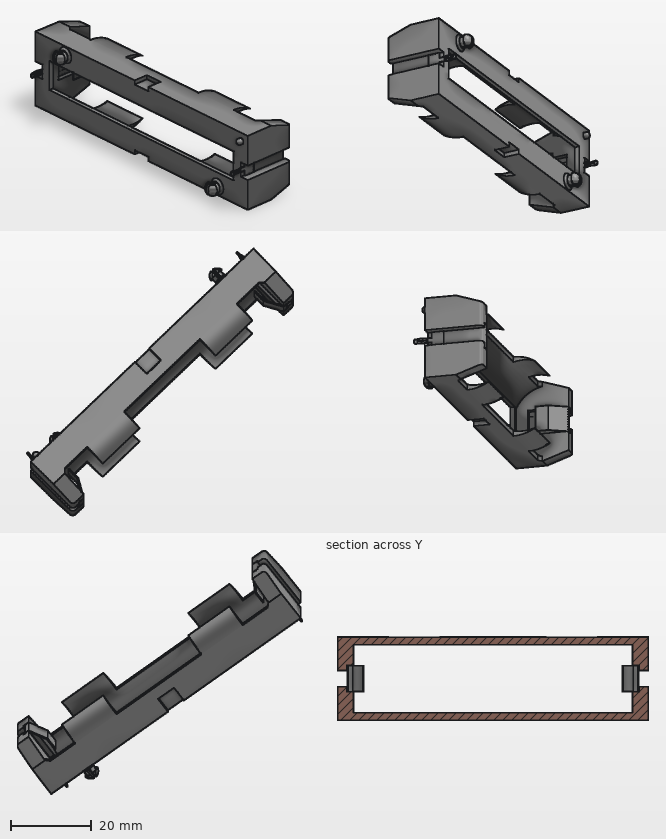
import cadquery as cq
import math

LENGTH = 77.05
HEIGHT = 20.65
RAIL_DEPTH = 7.1
TOWER_DEPTH = 14.8
TOWER_THICKNESS = 4.0
END_DRAFT = 0.15
TOWER_FILLET = 1.0
FLANK_START = 8.0
TOWER_TIP_HEIGHT = 16.2

CELL_RADIUS = 9.25
CELL_AXIS_Y = 9.55
FLOOR_THICKNESS = 1.2
WINDOW_LENGTH = 66.7
WINDOW_HEIGHT = 8.1

CLIP_LENGTH = 12.8
CLIP_CENTER_X = 19.5

RAIL_NOTCH_LENGTH = 4.9
RAIL_NOTCH_DEPTH = 4.15
RAIL_NOTCH_INSET = 1.15

SHEET = 0.3
CONTACT_WIDTH = 6.4
END_NOTCH_HEIGHT = 4.0
CONTACT_INSET = 2.15
CONTACT_JOG = 0.15
JOG_Y = 4.15
SHOULDER_Y = 1.1
BEND_RADIUS = 1.15
LEG_INSET = 6.55
LEG_TOP_Y = 10.25
LEG_END_Y = 6.9

TAIL_WIDTH = 1.15
PIN_LENGTH = 3.55
TAIL_TIP_CHAMFER = 0.3
BOW_OFFSET = 0.27
BOW_START = 0.3
BOW_END = 2.7

PEG_X = 27.6
PEG_Z = 7.85
ROOT_RADIUS = 1.55
SHANK_RADIUS = 1.5
ROOT_FILLET = 0.6
BARB_RADIUS = 1.9
BARB_CENTER = 1.7
BARB_START = 1.9
BARB_FLATS = 3.0
PEG_SLOT = 0.7

BUMP_X = 36.1
BUMP_Z = 8.0
BUMP_RADIUS = 0.85
BUMP_STRAIGHT = 0.55

END_X = LENGTH / 2
SIDE_Z = HEIGHT / 2
TOWER_INNER_X = END_X - TOWER_THICKNESS
STRIP_X = END_X - CONTACT_INSET
STRIP_BACK_X = STRIP_X - SHEET
WRAP_X = STRIP_X - CONTACT_JOG
WRAP_BACK_X = WRAP_X - SHEET
LEG_X = END_X - LEG_INSET


def box(x0, x1, y0, y1, z0, z1):
    """Axis-aligned block between two corners."""
    return cq.Workplane("XY").box(x1 - x0, y1 - y0, z1 - z0, centered=False).translate((x0, y0, z0))


def cylinder_along_x(radius, axis_y, x0, x1):
    return cq.Workplane("YZ", origin=(x0, 0, 0)).center(axis_y, 0).circle(radius).extrude(x1 - x0)


def make_frame():
    """Rails and end towers, with slightly drafted ends and tower flanks leaning inward."""
    slope = FLANK_START - RAIL_DEPTH
    side_outline = [
        (-END_X, 0),
        (END_X, 0),
        (END_X - END_DRAFT, TOWER_DEPTH),
        (TOWER_INNER_X, TOWER_DEPTH),
        (TOWER_INNER_X, FLANK_START),
        (TOWER_INNER_X - slope, RAIL_DEPTH),
        (-TOWER_INNER_X + slope, RAIL_DEPTH),
        (-TOWER_INNER_X, FLANK_START),
        (-TOWER_INNER_X, TOWER_DEPTH),
        (-END_X + END_DRAFT, TOWER_DEPTH),
    ]
    frame = cq.Workplane("XY").polyline(side_outline).close().extrude(SIDE_Z, both=True)
    frame = frame.faces(">Y").edges("<X or >X").fillet(TOWER_FILLET)
    tip_z = TOWER_TIP_HEIGHT / 2
    end_outline = [
        (0, -SIDE_Z),
        (FLANK_START, -SIDE_Z),
        (TOWER_DEPTH, -tip_z),
        (TOWER_DEPTH, tip_z),
        (FLANK_START, SIDE_Z),
        (0, SIDE_Z),
    ]
    return frame.intersect(cq.Workplane("YZ").polyline(end_outline).close().extrude(END_X, both=True))


def make_clips():
    """Four curved clips, thinning from the rail's outer side to a sharp tip."""
    clips = cq.Workplane("XY")
    for center_x in (-CLIP_CENTER_X, CLIP_CENTER_X):
        x0 = center_x - CLIP_LENGTH / 2
        x1 = center_x + CLIP_LENGTH / 2
        outer = cylinder_along_x(SIDE_Z, RAIL_DEPTH, x0, x1)
        above_rail = box(x0, x1, RAIL_DEPTH, CELL_AXIS_Y + CELL_RADIUS, -SIDE_Z, SIDE_Z)
        clips = clips.add(outer.intersect(above_rail))
    return clips


def make_cradle_cut():
    """Battery space: a cylinder with a flat floor, plus the window through the floor."""
    cell = cylinder_along_x(CELL_RADIUS, CELL_AXIS_Y, -TOWER_INNER_X, TOWER_INNER_X)
    above_floor = box(
        -END_X, END_X, FLOOR_THICKNESS, CELL_AXIS_Y + CELL_RADIUS, -SIDE_Z, SIDE_Z
    )
    half_length = WINDOW_LENGTH / 2
    half_height = WINDOW_HEIGHT / 2
    window = box(-half_length, half_length, 0, CELL_AXIS_Y, -half_height, half_height)
    return cell.intersect(above_floor).union(window)


def make_end_cut():
    """Notch and pocket for the contact in the +X tower."""
    half_notch = END_NOTCH_HEIGHT / 2
    half_width = CONTACT_WIDTH / 2
    lower = box(STRIP_BACK_X, END_X, 0, JOG_Y, -half_notch, half_notch)
    upper = box(WRAP_X, END_X, JOG_Y, TOWER_DEPTH, -half_notch, half_notch)
    pocket = box(TOWER_INNER_X, WRAP_X, JOG_Y, TOWER_DEPTH, -half_width, half_width)
    return lower.union(upper).union(pocket)


def make_bump():
    tip = BUMP_STRAIGHT + BUMP_RADIUS
    diagonal = BUMP_RADIUS * math.sqrt(0.5)
    profile = (
        cq.Workplane("XY")
        .lineTo(BUMP_RADIUS, 0)
        .lineTo(BUMP_RADIUS, -BUMP_STRAIGHT)
        .threePointArc((diagonal, -BUMP_STRAIGHT - diagonal), (0, -tip))
        .close()
    )
    return profile.revolve(360, (0, 0, 0), (0, 1, 0)).translate((BUMP_X, 0, BUMP_Z))


def make_housing():
    housing = make_frame()
    for clip in make_clips().vals():
        housing = housing.union(cq.Workplane(clip))
    housing = housing.cut(make_cradle_cut())
    end_cut = make_end_cut()
    housing = housing.cut(end_cut).cut(end_cut.mirror("YZ"))
    half_notch = RAIL_NOTCH_LENGTH / 2
    rail_notch = box(-half_notch, half_notch, 0, RAIL_NOTCH_DEPTH, SIDE_Z - RAIL_NOTCH_INSET, SIDE_Z)
    housing = housing.cut(rail_notch).cut(rail_notch.mirror("XY"))
    return housing.union(make_bump())


def make_tail_half(bow, z0, z1):
    """One lengthwise half of a tail, bowed by the given offset along X."""
    peak_y = -(BOW_START + BOW_END) / 2
    outline = (
        cq.Workplane("XY", origin=(0, 0, z0))
        .moveTo(STRIP_X, SHOULDER_Y)
        .lineTo(STRIP_X, -BOW_START)
        .threePointArc((STRIP_X + bow, peak_y), (STRIP_X, -BOW_END))
        .lineTo(STRIP_X, -PIN_LENGTH)
        .lineTo(STRIP_BACK_X, -PIN_LENGTH)
        .lineTo(STRIP_BACK_X, -BOW_END)
        .threePointArc((STRIP_BACK_X + bow, peak_y), (STRIP_BACK_X, -BOW_START))
        .lineTo(STRIP_BACK_X, SHOULDER_Y)
        .close()
    )
    return outline.extrude(z1 - z0)


def make_tail():
    half_width = TAIL_WIDTH / 2
    tail = make_tail_half(BOW_OFFSET, 0, half_width).union(make_tail_half(-BOW_OFFSET, -half_width, 0))
    return tail.faces("<Y").edges("|X").edges(">Z or <Z").chamfer(TAIL_TIP_CHAMFER)


def make_wrap():
    """Sheet that rises behind the notch, bends over the tower top and springs down to the cell."""
    inner_bend = BEND_RADIUS - SHEET
    bend_x = WRAP_X - BEND_RADIUS
    bend_y = TOWER_DEPTH - BEND_RADIUS
    diagonal = math.sqrt(0.5)
    slant = math.atan2(TOWER_DEPTH - LEG_TOP_Y, TOWER_INNER_X - LEG_X)
    top_shift = SHEET * math.tan(slant / 2)
    leg_shift = SHEET * math.tan((math.pi / 2 - slant) / 2)
    outline = (
        cq.Workplane("XY")
        .moveTo(WRAP_X, JOG_Y)
        .lineTo(WRAP_X, bend_y)
        .threePointArc(
            (bend_x + BEND_RADIUS * diagonal, bend_y + BEND_RADIUS * diagonal), (bend_x, TOWER_DEPTH)
        )
        .lineTo(TOWER_INNER_X, TOWER_DEPTH)
        .lineTo(LEG_X, LEG_TOP_Y)
        .lineTo(LEG_X, LEG_END_Y)
        .lineTo(LEG_X + SHEET, LEG_END_Y)
        .lineTo(LEG_X + SHEET, LEG_TOP_Y - leg_shift)
        .lineTo(TOWER_INNER_X + top_shift, TOWER_DEPTH - SHEET)
        .lineTo(bend_x, TOWER_DEPTH - SHEET)
        .threePointArc(
            (bend_x + inner_bend * diagonal, bend_y + inner_bend * diagonal), (WRAP_BACK_X, bend_y)
        )
        .lineTo(WRAP_BACK_X, JOG_Y)
        .close()
    )
    return outline.extrude(CONTACT_WIDTH / 2, both=True)


def make_contact():
    """Contact on the +X tower."""
    half_notch = END_NOTCH_HEIGHT / 2
    strip = box(STRIP_BACK_X, STRIP_X, SHOULDER_Y, JOG_Y, -half_notch, half_notch)
    return make_wrap().union(strip).union(make_tail())


def make_peg():
    """Snap-in peg with its axis along Y, split by a slot, with flats on two sides of its barb."""
    base_radius = ROOT_RADIUS + ROOT_FILLET
    arc_shift = ROOT_FILLET * (1 - math.sqrt(0.5))
    barb_edge = math.sqrt(BARB_RADIUS**2 - (BARB_START - BARB_CENTER) ** 2)
    tip_radius = math.sqrt(BARB_RADIUS**2 - (PIN_LENGTH - BARB_CENTER) ** 2)
    mid_barb = BARB_RADIUS * math.sqrt(0.5)
    profile = (
        cq.Workplane("XY")
        .lineTo(base_radius, 0)
        .threePointArc((ROOT_RADIUS + arc_shift, -arc_shift), (ROOT_RADIUS, -ROOT_FILLET))
        .lineTo(SHANK_RADIUS, -ROOT_FILLET)
        .lineTo(SHANK_RADIUS, -BARB_START)
        .lineTo(barb_edge, -BARB_START)
        .threePointArc((mid_barb, -BARB_CENTER - mid_barb), (tip_radius, -PIN_LENGTH))
        .lineTo(0, -PIN_LENGTH)
        .close()
    )
    peg = profile.revolve(360, (0, 0, 0), (0, 1, 0))
    flat = box(-BARB_RADIUS, BARB_RADIUS, -PIN_LENGTH, -BARB_START, BARB_FLATS / 2, BARB_RADIUS)
    peg = peg.cut(flat).cut(flat.mirror("XY"))
    half_slot = PEG_SLOT / 2
    slot = box(-half_slot, half_slot, -PIN_LENGTH, -ROOT_FILLET, -BARB_RADIUS, BARB_RADIUS)
    return peg.cut(slot)


housing = make_housing()

right_contact = make_contact()
contacts = [right_contact, right_contact.mirror("YZ")]

pegs = []
for side in (-1, 1):
    pegs.append(make_peg().translate((side * PEG_X, 0, -side * PEG_Z)))

result = cq.Compound.makeCompound(
    [
        housing.val(),
        *[contact.val() for contact in contacts],
        *[peg.val() for peg in pegs],
    ]
)